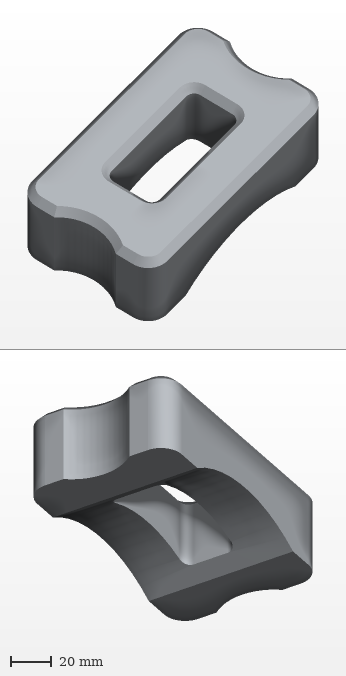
import cadquery as cq

length = 142.0
width = 84.0
height = 45.0
corner_radius = 12.0
top_chamfer = 4.0

notch_radius = 30.0
notch_depth = 7.0

window_width = 30.0
window_length = 70.0
window_corner_radius = 5.0

arch_span = 88.9
arch_rise = 12.9


def make_block():
    """Rectangular block with rounded vertical corners."""
    block = cq.Workplane("XY").rect(width, length).extrude(height)
    return block.edges("|Z").fillet(corner_radius)


def make_end_notches():
    """Vertical cylinders that bite into both ends."""
    center_y = length / 2 + notch_radius - notch_depth
    centers = [(0, -center_y), (0, center_y)]
    return cq.Workplane("XY").pushPoints(centers).circle(notch_radius).extrude(height)


def make_window():
    """Through opening with rounded corners."""
    window = cq.Workplane("XY").rect(window_width, window_length).extrude(height)
    return window.edges("|Z").fillet(window_corner_radius)


def make_arch():
    """Circular segment running through the full width of the underside."""
    return (
        cq.Workplane("YZ")
        .moveTo(-arch_span / 2, 0)
        .threePointArc((0, arch_rise), (arch_span / 2, 0))
        .close()
        .extrude(width / 2, both=True)
    )


body = make_block().cut(make_end_notches()).cut(make_window())

body = body.faces(">Z").edges().chamfer(top_chamfer)

result = body.cut(make_arch())